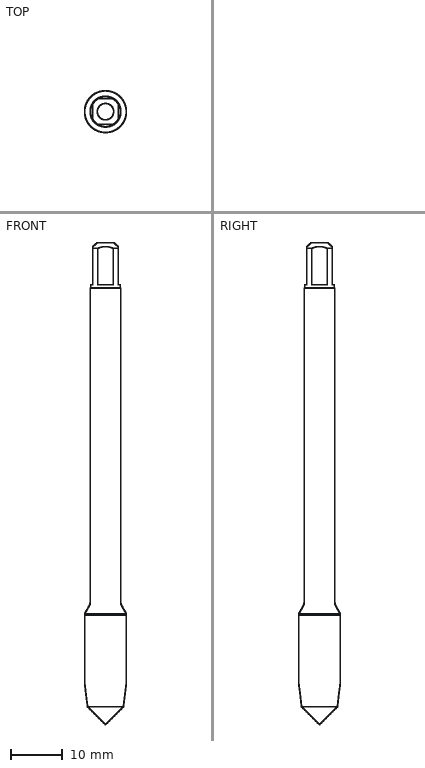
import cadquery as cq
import math

total_length = 93.25
flats_bottom = 85.1
collar_bottom = 84.5
collar_chamfer_height = 0.1
shoulder_bottom = 21.45
head_top = 21.2
lead_top = 8.0

shank_diameter = 6.0
shoulder_angle = math.radians(30)
shoulder_fillet_radius = 1.3

square_width = 4.9
square_corner_diameter = 5.8
square_tip_diameter = 3.2
square_tip_chamfer_height = 1.1

head_diameter = 8.1
lead_end_diameter = 7.0
point_angle = math.radians(90)

shank_radius = shank_diameter / 2
head_radius = head_diameter / 2


def make_shank():
    """Round shank flaring out to the head at the bottom, with a square drive at the top."""
    fillet_end_radius = shank_radius + shoulder_fillet_radius * (1 - math.cos(shoulder_angle))
    fillet_mid_radius = shank_radius + shoulder_fillet_radius * (1 - math.cos(shoulder_angle / 2))
    fillet_end = shoulder_bottom + (head_radius - fillet_end_radius) / math.tan(shoulder_angle)
    fillet_start = fillet_end + shoulder_fillet_radius * math.sin(shoulder_angle)
    fillet_mid = fillet_start - shoulder_fillet_radius * math.sin(shoulder_angle / 2)
    corner_radius = square_corner_diameter / 2

    shank = (
        cq.Workplane("XZ")
        .moveTo(0, head_top)
        .lineTo(head_radius, head_top)
        .lineTo(head_radius, shoulder_bottom)
        .lineTo(fillet_end_radius, fillet_end)
        .threePointArc((fillet_mid_radius, fillet_mid), (shank_radius, fillet_start))
        .lineTo(shank_radius, collar_bottom - collar_chamfer_height)
        .lineTo(corner_radius, collar_bottom)
        .lineTo(corner_radius, total_length - square_tip_chamfer_height)
        .lineTo(square_tip_diameter / 2, total_length)
        .lineTo(0, total_length)
        .close()
        .revolve(360, (0, 0), (0, 1))
    )
    around_square = (
        cq.Workplane("XY", origin=(0, 0, flats_bottom))
        .rect(2 * shank_diameter, 2 * shank_diameter)
        .rect(square_width, square_width)
        .extrude(total_length - flats_bottom)
    )
    return shank.cut(around_square)


def make_head():
    """Cylindrical head with a tapered lead and a conical point."""
    lead_end_radius = lead_end_diameter / 2
    point_height = lead_end_radius / math.tan(point_angle / 2)
    return (
        cq.Workplane("XZ")
        .moveTo(0, 0)
        .lineTo(lead_end_radius, point_height)
        .lineTo(head_radius, lead_top)
        .lineTo(head_radius, head_top)
        .lineTo(0, head_top)
        .close()
        .revolve(360, (0, 0), (0, 1))
    )


shank = make_shank()
head = make_head()
result = cq.Compound.makeCompound([shank.val(), head.val()])